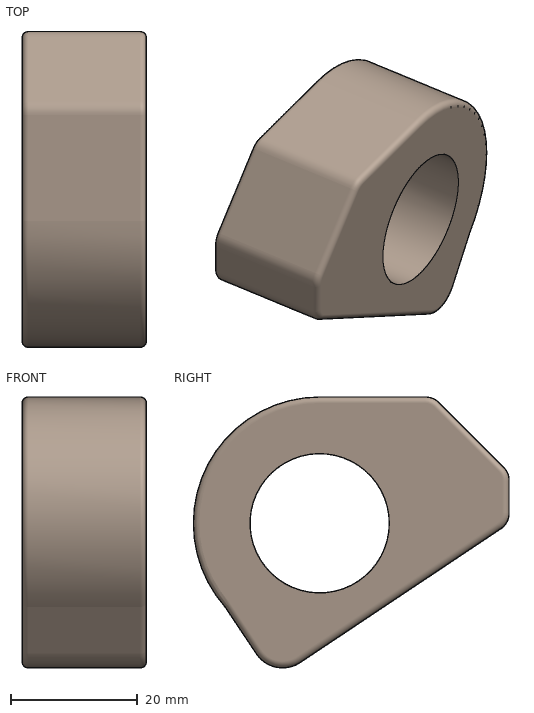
import cadquery as cq
import math

thickness = 19.7
outer_radius = 20.0
bore_diameter = 22.0
back_y = 29.95
back_chamfer = 12.0
lower_slope = 2 / 3
toe_y = -7.25
toe_radius = 5.0
back_corner_radius = 3.0
rim_fillet = 1.0

toe_z = -lower_slope * (back_y - toe_y)

lower_angle = math.atan(lower_slope)
rise_y = -math.sin(lower_angle)
rise_z = math.cos(lower_angle)
toe_along = toe_y * rise_y + toe_z * rise_z
toe_distance_squared = toe_y**2 + toe_z**2
toe_face_length = -toe_along - math.sqrt(toe_along**2 - toe_distance_squared + outer_radius**2)
meet_y = toe_y + toe_face_length * rise_y
meet_z = toe_z + toe_face_length * rise_z

meet_angle = math.atan2(meet_z, meet_y) + 2 * math.pi
mid_angle = (math.pi / 2 + meet_angle) / 2
round_middle = (outer_radius * math.cos(mid_angle), outer_radius * math.sin(mid_angle))


def round_corner(body, y, z, radius):
    """Round the edge along X that passes through the profile corner (y, z)."""
    edge = cq.selectors.NearestToPointSelector((thickness / 2, y, z))
    return body.edges("|X").edges(edge).fillet(radius)


back_corners = [
    (back_y, 0),
    (back_y, outer_radius - back_chamfer),
    (back_y - back_chamfer, outer_radius),
]
body = (
    cq.Workplane("YZ")
    .moveTo(toe_y, toe_z)
    .polyline(back_corners, includeCurrent=True)
    .lineTo(0, outer_radius)
    .threePointArc(round_middle, (meet_y, meet_z))
    .close()
    .extrude(thickness)
)

for corner_y, corner_z in back_corners:
    body = round_corner(body, corner_y, corner_z, back_corner_radius)
body = round_corner(body, toe_y, toe_z, toe_radius)

body = body.faces("<X or >X").edges().fillet(rim_fillet)
bore = cq.Workplane("YZ").circle(bore_diameter / 2).extrude(thickness)
result = body.cut(bore)